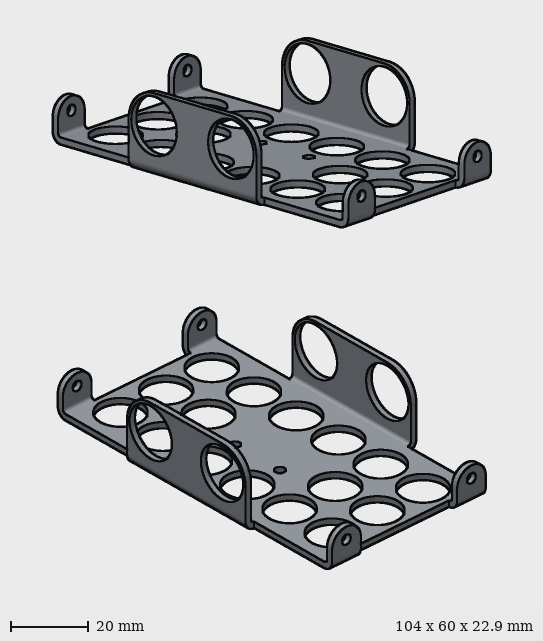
import cadquery as cq

LENGTH = 104.0
WIDTH = 60.0
HEIGHT = 22.9

THICKNESS = 2.0
BEND_OUTER_RADIUS = 3.0
BEND_INNER_RADIUS = BEND_OUTER_RADIUS - THICKNESS

FLOOR_LENGTH = LENGTH - 2 * BEND_OUTER_RADIUS
FLOOR_WIDTH = WIDTH - 2 * BEND_OUTER_RADIUS

GRID_COLUMNS = 6
GRID_ROWS = 3
GRID_PITCH = 16.0
GRID_HOLE_DIAMETER = 14.0
SOLID_COLUMNS = (2, 3)
SOLID_ROW = 1

SCREW_HOLE_DIAMETER = 3.0
FLOOR_SCREW_SPACING = 17.0
FLOOR_SCREW_Y = 5.0

SIDE_FLANGE_WIDTH = 44.9
SIDE_CORNER_RADIUS = 8.9
SIDE_HOLE_DIAMETER = 16.0
SIDE_HOLE_X = SIDE_FLANGE_WIDTH / 2 - SIDE_CORNER_RADIUS
SIDE_HOLE_Z = HEIGHT - SIDE_CORNER_RADIUS

TAB_WIDTH = 10.1
TAB_HEIGHT = 11.9
TAB_RADIUS = TAB_WIDTH / 2
TAB_HOLE_Z = 7.9
TAB_OFFSET = (FLOOR_WIDTH - TAB_WIDTH) / 2


def side_flange_outline():
    """Upright outline with two rounded top corners."""
    return (
        cq.Workplane("XZ")
        .rect(SIDE_FLANGE_WIDTH, 2 * HEIGHT)
        .extrude(-BEND_OUTER_RADIUS)
        .edges("|Y and >Z")
        .fillet(SIDE_CORNER_RADIUS)
    )


def tab_outline():
    """Upright outline with a full-round top."""
    shoulder = TAB_HEIGHT - TAB_RADIUS
    return (
        cq.Workplane("XZ")
        .moveTo(-TAB_RADIUS, 0)
        .lineTo(TAB_RADIUS, 0)
        .lineTo(TAB_RADIUS, shoulder)
        .threePointArc((0, TAB_HEIGHT), (-TAB_RADIUS, shoulder))
        .close()
        .extrude(-BEND_OUTER_RADIUS)
    )


def make_flange(width, height, outline, holes, hole_diameter):
    """Upturned flange, centred on x = 0, whose bend starts at y = 0 and rises toward +Y.

    The bent strip is trimmed to the outline; holes are (x, z) centres through the upright.
    """
    strip = (
        cq.Workplane("YZ")
        .moveTo(0, 0)
        .radiusArc((BEND_OUTER_RADIUS, BEND_OUTER_RADIUS), -BEND_OUTER_RADIUS)
        .lineTo(BEND_OUTER_RADIUS, height)
        .lineTo(BEND_INNER_RADIUS, height)
        .lineTo(BEND_INNER_RADIUS, BEND_OUTER_RADIUS)
        .radiusArc((0, THICKNESS), BEND_INNER_RADIUS)
        .close()
        .extrude(width / 2, both=True)
    )
    cutters = (
        cq.Workplane("XZ")
        .pushPoints(holes)
        .circle(hole_diameter / 2)
        .extrude(-BEND_OUTER_RADIUS)
    )
    return strip.intersect(outline).cut(cutters)


def make_floor():
    """Flat perforated floor with its underside at z = 0."""
    grid_points = [
        ((column - (GRID_COLUMNS - 1) / 2) * GRID_PITCH, (row - (GRID_ROWS - 1) / 2) * GRID_PITCH)
        for column in range(GRID_COLUMNS)
        for row in range(GRID_ROWS)
        if not (row == SOLID_ROW and column in SOLID_COLUMNS)
    ]
    screw_points = [(side * FLOOR_SCREW_SPACING / 2, FLOOR_SCREW_Y) for side in (-1, 1)]
    return (
        cq.Workplane("XY")
        .rect(FLOOR_LENGTH, FLOOR_WIDTH)
        .extrude(THICKNESS)
        .faces(">Z")
        .workplane(origin=(0, 0, THICKNESS))
        .pushPoints(grid_points)
        .hole(GRID_HOLE_DIAMETER)
        .pushPoints(screw_points)
        .hole(SCREW_HOLE_DIAMETER)
    )


def turn(body, angle):
    """Rotate a body about the vertical axis."""
    return body.rotate((0, 0, 0), (0, 0, 1), angle)


side_flange = make_flange(
    SIDE_FLANGE_WIDTH,
    HEIGHT,
    side_flange_outline(),
    [(-SIDE_HOLE_X, SIDE_HOLE_Z), (SIDE_HOLE_X, SIDE_HOLE_Z)],
    SIDE_HOLE_DIAMETER,
).translate((0, FLOOR_WIDTH / 2, 0))

corner_tab = make_flange(
    TAB_WIDTH,
    TAB_HEIGHT,
    tab_outline(),
    [(0, TAB_HOLE_Z)],
    SCREW_HOLE_DIAMETER,
)

result = make_floor()
for angle in (0, 180):
    result = result.union(turn(side_flange, angle))
for angle in (90, 270):
    for tab_offset in (-TAB_OFFSET, TAB_OFFSET):
        tab = corner_tab.translate((tab_offset, FLOOR_LENGTH / 2, 0))
        result = result.union(turn(tab, angle))